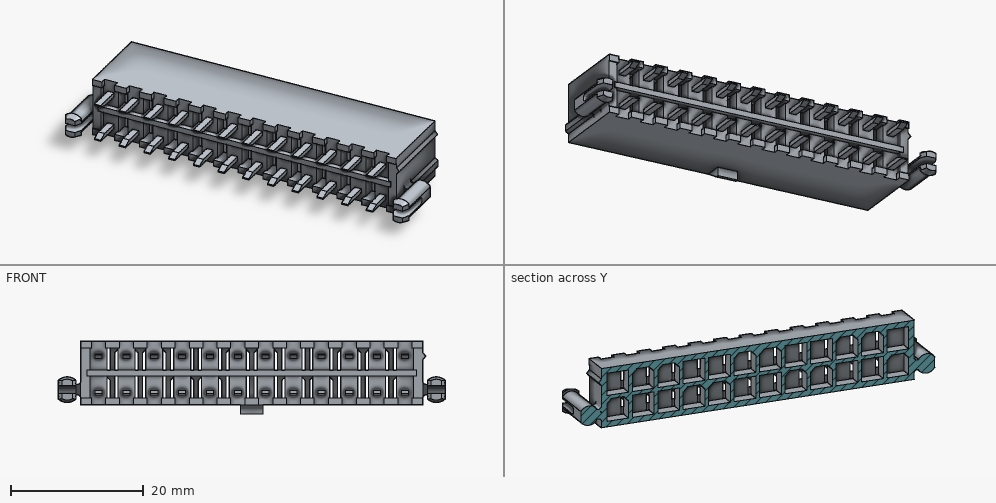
import cadquery as cq
import math


columns = 12
pitch = 4.2

housing_length = 51.6
housing_depth = 12.8
housing_height = 9.6
side_face_recess = 0.2

floor_recess = 0.9
floor_thickness = 2.0
cell_width = 2.6
notch_width = 2.15
outer_wall = 1.05
rib_height = 0.9
rib_end_inset = 0.95

cavity_size = 3.5
cavity_chamfer = 0.75
cavity_row_z = 2.08

tail_width = 1.07
tail_thickness = 0.7
tail_length = 3.5
tail_tip_thickness = 0.2
tail_bevel_length = 1.3
upper_tail_z = 2.55
lower_tail_z = -2.97

peg_overall_width = 58.38
peg_width = 2.7
peg_z = -2.5
peg_radius = 1.6
peg_back_y = 4.75
peg_head_y = -2.2
peg_tip_y = -3.33
barb_radius = 1.95
peg_tip_radius = 1.57
peg_tip_width = 1.6
peg_slot_height = 1.2
peg_slot_end_y = 2.0
neck_height = 1.6
neck_depth = 2.15
neck_fillet = 0.5

rail_projection = 0.5
rail_base_height = 1.8
rail_crest_height = 1.05
key_rail_z = 2.55
key_rail_height = 1.1
key_rail_projection = 0.45

latch_width = 3.4
latch_drop = 1.4
latch_length = 3.0
latch_land = 0.55

half_length = housing_length / 2
half_height = housing_height / 2
column_x = [(i - (columns - 1) / 2) * pitch for i in range(columns)]
inner_half_length = column_x[-1] + cell_width / 2
inner_half_height = half_height - outer_wall
cavity_start_y = floor_recess + floor_thickness
peg_x = (peg_overall_width - peg_width) / 2


def block(x_range, y_range, z_range):
    """Axis-aligned box given by its limits along X, Y and Z."""
    size = [high - low for low, high in (x_range, y_range, z_range)]
    low_corner = (x_range[0], y_range[0], z_range[0])
    return cq.Workplane("XY").box(*size, centered=False).translate(low_corner)


def prism_along_y(points, y_start, y_end):
    """Prism with an XZ outline, running from y_start to y_end."""
    plane = cq.Workplane("XZ", origin=(0, y_end, 0))
    return plane.polyline(points).close().extrude(y_end - y_start)


def prism_along_x(points, x_center, width):
    """Prism with a YZ outline, centred on x_center."""
    plane = cq.Workplane("YZ", origin=(x_center - width / 2, 0, 0))
    return plane.polyline(points).close().extrude(width)


def cavity(x, z, chamfered):
    """Square mating cavity; keyed ones have both top corners chamfered."""
    depth = housing_depth - cavity_start_y
    cutter = cq.Workplane("XY").box(cavity_size, depth, cavity_size)
    if chamfered:
        cutter = cutter.edges("|Y and >Z").chamfer(cavity_chamfer)
    return cutter.translate((x, cavity_start_y + depth / 2, z))


def is_chamfered(column, upper_row):
    """Keying pattern: pairs of columns alternate, and the two rows are opposite."""
    middle_pair = column % 4 in (1, 2)
    return middle_pair == upper_row


def housing():
    body = block(
        (-half_length, half_length), (0, housing_depth), (-half_height, half_height)
    )
    body = body.cut(
        block(
            (-half_length, half_length),
            (0, side_face_recess),
            (-inner_half_height, inner_half_height),
        )
    )
    body = body.cut(
        block(
            (-inner_half_length, inner_half_length),
            (0, floor_recess),
            (-inner_half_height, inner_half_height),
        )
    )
    for column, x in enumerate(column_x):
        body = body.cut(
            block(
                (x - notch_width / 2, x + notch_width / 2),
                (0, floor_recess),
                (-half_height, half_height),
            )
        )
        body = body.cut(cavity(x, cavity_row_z, is_chamfered(column, True)))
        body = body.cut(cavity(x, -cavity_row_z, is_chamfered(column, False)))
    for left_x, right_x in zip(column_x, column_x[1:]):
        slot_x = (left_x + cell_width / 2, right_x - cell_width / 2)
        slot_y = (floor_recess, cavity_start_y)
        body = body.cut(block(slot_x, slot_y, (rib_height / 2, inner_half_height)))
        body = body.cut(block(slot_x, slot_y, (-inner_half_height, -rib_height / 2)))
    rib_half_length = half_length - rib_end_inset
    return body.union(
        block(
            (-rib_half_length, rib_half_length),
            (0, floor_recess),
            (-rib_height / 2, rib_height / 2),
        )
    )


def tail(x, z, bevel_side):
    """Solder tail; bevel_side is +1 for a bevel on top, -1 for one underneath."""
    plain = -bevel_side * tail_thickness / 2
    beveled = -plain
    tip = plain + bevel_side * tail_tip_thickness
    points = [
        (floor_recess, z + plain),
        (-tail_length, z + plain),
        (-tail_length, z + tip),
        (-tail_length + tail_bevel_length, z + beveled),
        (floor_recess, z + beveled),
    ]
    return prism_along_x(points, x, tail_width)


def peg():
    """Right-hand split board peg with its neck to the housing."""
    half_width = peg_width / 2
    shaft = (
        cq.Workplane("XZ", origin=(0, peg_back_y, 0))
        .circle(peg_radius)
        .extrude(peg_back_y - peg_head_y)
    )
    shaft = shaft.intersect(
        block(
            (-half_width, half_width),
            (peg_head_y, peg_back_y),
            (-peg_radius, peg_radius),
        )
    )
    head = (
        cq.Workplane("XY")
        .polyline(
            [
                (0, peg_head_y),
                (barb_radius, peg_head_y),
                (peg_tip_radius, peg_tip_y),
                (0, peg_tip_y),
            ]
        )
        .close()
        .revolve(360, (0, 0, 0), (0, 1, 0))
    )
    wedge = (
        cq.Workplane("XY", origin=(0, 0, -barb_radius))
        .polyline(
            [
                (-half_width, peg_head_y),
                (half_width, peg_head_y),
                (peg_tip_width / 2, peg_tip_y),
                (-peg_tip_width / 2, peg_tip_y),
            ]
        )
        .close()
        .extrude(2 * barb_radius)
    )
    slot_radius = peg_slot_height / 2
    slot_round_y = peg_slot_end_y - slot_radius
    slot = (
        cq.Workplane("YZ", origin=(-half_width, 0, 0))
        .moveTo(peg_tip_y, -slot_radius)
        .lineTo(slot_round_y, -slot_radius)
        .threePointArc((peg_slot_end_y, 0), (slot_round_y, slot_radius))
        .lineTo(peg_tip_y, slot_radius)
        .close()
        .extrude(peg_width)
    )
    split_peg = shaft.union(head.intersect(wedge)).cut(slot)
    return split_peg.union(neck()).translate((peg_x, 0, peg_z))


def neck():
    """Bridge between housing and peg, flaring into the housing wall with fillets."""
    wall_x = half_length - peg_x
    half_neck = neck_height / 2
    flare_x = wall_x + neck_fillet
    flare_z = half_neck + neck_fillet
    arc_offset = neck_fillet * (1 - math.sqrt(0.5))
    return (
        cq.Workplane("XZ", origin=(0, peg_back_y, 0))
        .moveTo(wall_x, -flare_z)
        .threePointArc(
            (wall_x + arc_offset, -half_neck - arc_offset), (flare_x, -half_neck)
        )
        .lineTo(0, -half_neck)
        .lineTo(0, half_neck)
        .lineTo(flare_x, half_neck)
        .threePointArc(
            (wall_x + arc_offset, half_neck + arc_offset), (wall_x, flare_z)
        )
        .close()
        .extrude(neck_depth)
    )


def side_rail():
    """Right-hand trapezoidal rail from the mating side to the peg neck."""
    crest_x = half_length + rail_projection
    points = [
        (half_length, peg_z - rail_base_height / 2),
        (crest_x, peg_z - rail_crest_height / 2),
        (crest_x, peg_z + rail_crest_height / 2),
        (half_length, peg_z + rail_base_height / 2),
    ]
    return prism_along_y(points, peg_back_y, housing_depth)


def key_rail():
    """Triangular polarising rail along the +X side."""
    points = [
        (half_length, key_rail_z - key_rail_height / 2),
        (half_length + key_rail_projection, key_rail_z),
        (half_length, key_rail_z + key_rail_height / 2),
    ]
    return prism_along_y(points, side_face_recess, housing_depth)


def latch():
    """Ramp that the mating plug snaps over."""
    end_y = housing_depth - latch_length
    bottom_z = -half_height - latch_drop
    points = [
        (housing_depth, -half_height),
        (end_y + latch_land, bottom_z),
        (end_y, bottom_z),
        (end_y, -half_height),
    ]
    return prism_along_x(points, 0, latch_width)


result = housing()
for x in column_x:
    result = result.union(tail(x, upper_tail_z, -1))
    result = result.union(tail(x, lower_tail_z, 1))
side_parts = peg().union(side_rail())
result = result.union(side_parts).union(side_parts.mirror("YZ"))
result = result.union(key_rail()).union(latch())